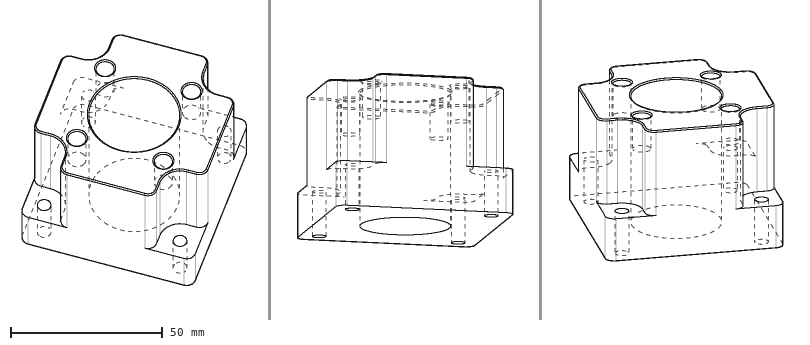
import cadquery as cq

side = 60.0
height = 45.0
flange_height = 15.0
corner_radius = 3.0
edge_chamfer = 0.5

bolt_spacing = 47.15
bolt_diameter = 4.5
relief_radius = 7.0

bore_diameter = 30.0
top_hole_spacing = 30.0
top_hole_diameter = 6.0
top_hole_depth = 12.0


def square_pattern(spacing):
    """Centres of four holes at the corners of a square."""
    half = spacing / 2
    return [(x, y) for x in (-half, half) for y in (-half, half)]


def make_flange():
    """Square base with rounded corners."""
    flange = cq.Workplane("XY").rect(side, side).extrude(flange_height)
    return flange.edges("|Z").fillet(corner_radius)


def make_tower():
    """Cross-shaped upper body whose inside corners are concentric with the bolt holes."""
    arm_width = bolt_spacing - 2 * relief_radius
    tower_height = height - flange_height
    base = cq.Workplane("XY").workplane(offset=flange_height)
    tower = base.rect(side, arm_width).extrude(tower_height)
    tower = tower.union(base.rect(arm_width, side).extrude(tower_height))

    reach = bolt_spacing / 2
    inside_corners = cq.selectors.BoxSelector((-reach, -reach, 0), (reach, reach, height))
    tower = tower.edges("|Z").edges(inside_corners).fillet(relief_radius)
    tower = tower.edges("|Z").edges(">X or <X or >Y or <Y").fillet(corner_radius)
    return tower.faces(">Z").edges().chamfer(edge_chamfer)


def top_hole_cutter(diameter, depth, centres):
    """Holes going down from the top face, each with a chamfered rim."""
    top = cq.Workplane("XY").workplane(offset=height).pushPoints(centres)
    holes = top.circle(diameter / 2).extrude(-depth)
    rims = top.circle(diameter / 2 + edge_chamfer).extrude(-edge_chamfer, taper=45)
    return holes.union(rims)


bolt_holes = (
    cq.Workplane("XY")
    .pushPoints(square_pattern(bolt_spacing))
    .circle(bolt_diameter / 2)
    .extrude(flange_height)
)

result = make_flange().union(make_tower())
result = result.cut(top_hole_cutter(bore_diameter, height, [(0, 0)]))
result = result.cut(top_hole_cutter(top_hole_diameter, top_hole_depth, square_pattern(top_hole_spacing)))
result = result.cut(bolt_holes)